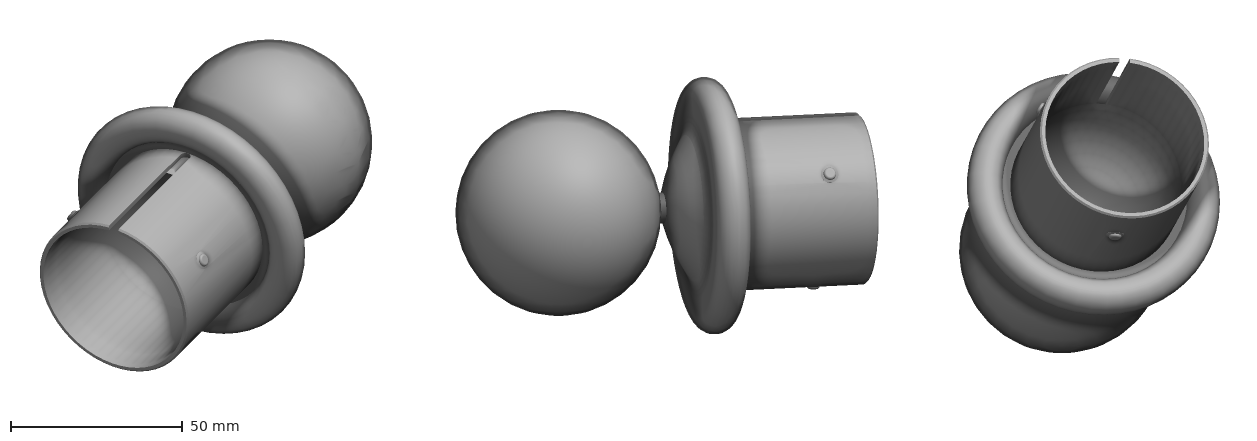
import cadquery as cq
import math


tube_length = 40.0
tube_radius = 25.1
bore_radius = 23.6
tube_chamfer = 0.5
slot_width = 3.2

cavity_center = -6.7

rim_radius = 37.5
rim_width = 10.0
rim_edge_radius = rim_width / 2
rim_center_radius = rim_radius - rim_edge_radius
rim_land = 0.5
rim_lip_radius = 5.0
rim_lip_center_radius = rim_center_radius - rim_land
rim_floor = 3.0
slot_end_gap = 0.1
slot_end = rim_floor - slot_end_gap

dome_tip = 18.8
dome_tip_radius = 4.7
dome_mid_radius = 13.2
dome_mid = 15.55
dome_foot = 11.3
dome_foot_radius = 20.9
dome_flare_radius = 26.0

ball_radius = 30.0
ball_center = 50.0
neck_radius = 4.5
neck_overlap = 1.0

stud_count = 3
stud_distance = 14.0
stud_base_radius = 2.6
stud_radius = 1.85
stud_edge_radius = 0.7
stud_height = 1.1
stud_cone_height = 0.3
first_stud_angle = -90.0


def lip_inner_radius(depth):
    """Radius of the rounded inner lip of the rim at a depth behind its front."""
    rise = rim_lip_radius - depth
    return rim_lip_center_radius - math.sqrt(rim_lip_radius**2 - rise**2)


def make_body():
    """Tube, rim and dome, turned as one outline in (radius, y)."""
    floor_edge_radius = lip_inner_radius(rim_floor)
    lip_mid_depth = rim_floor / 3
    lip_mid = (lip_inner_radius(lip_mid_depth), lip_mid_depth)
    outline = (
        cq.Workplane("XY")
        .moveTo(0, -tube_length)
        .lineTo(tube_radius - tube_chamfer, -tube_length)
        .lineTo(tube_radius, -tube_length + tube_chamfer)
        .lineTo(tube_radius, rim_floor)
        .lineTo(floor_edge_radius, rim_floor)
        .threePointArc(lip_mid, (rim_lip_center_radius, 0))
        .lineTo(rim_center_radius, 0)
        .threePointArc((rim_radius, rim_width / 2), (rim_center_radius, rim_width))
        .lineTo(dome_flare_radius, rim_width)
        .tangentArcPoint((dome_foot_radius, dome_foot), relative=False)
        .threePointArc((dome_mid_radius, dome_mid), (dome_tip_radius, dome_tip))
        .lineTo(0, dome_tip)
        .close()
    )
    return outline.revolve(360, (0, 0, 0), (0, 1, 0))


def make_bore():
    """Bore of the tube with its hemispherical end."""
    diagonal = bore_radius * math.sqrt(0.5)
    outline = (
        cq.Workplane("XY")
        .moveTo(0, -tube_length)
        .lineTo(bore_radius, -tube_length)
        .lineTo(bore_radius, cavity_center)
        .threePointArc((diagonal, cavity_center + diagonal), (0, cavity_center + bore_radius))
        .close()
    )
    return outline.revolve(360, (0, 0, 0), (0, 1, 0))


def make_ball():
    """Ball with the neck that joins it to the dome."""
    neck_start = dome_tip - neck_overlap
    ball = cq.Workplane("XY").sphere(ball_radius).translate((0, ball_center, 0))
    neck = (
        cq.Workplane("XZ", origin=(0, ball_center, 0))
        .circle(neck_radius)
        .extrude(ball_center - neck_start)
    )
    return ball.union(neck)


def make_slot():
    """Round-ended lengthwise slot on the +Z side, as deep as the tube wall is thick."""
    slot_length = tube_length + slot_end
    wall = (
        cq.Workplane("XZ", origin=(0, -tube_length, 0))
        .circle(tube_radius)
        .circle(bore_radius)
        .extrude(-slot_length)
    )
    half_width = slot_width / 2
    straight_end = slot_end - half_width
    strip = (
        cq.Workplane("XY")
        .moveTo(-half_width, -tube_length)
        .lineTo(half_width, -tube_length)
        .lineTo(half_width, straight_end)
        .threePointArc((0, slot_end), (-half_width, straight_end))
        .close()
        .extrude(tube_radius)
    )
    return wall.intersect(strip)


def make_stud(angle):
    """Round-edged stud standing radially on the tube wall."""
    root = (tube_radius + bore_radius) / 2
    end = tube_radius + stud_height
    stud = (
        cq.Workplane("XY")
        .moveTo(root, 0)
        .lineTo(root, stud_base_radius)
        .lineTo(tube_radius, stud_base_radius)
        .lineTo(tube_radius + stud_cone_height, stud_radius)
        .lineTo(end - stud_edge_radius, stud_radius)
        .tangentArcPoint((end, stud_radius - stud_edge_radius), relative=False)
        .lineTo(end, 0)
        .close()
        .revolve(360, (0, 0, 0), (1, 0, 0))
        .translate((0, stud_distance - tube_length, 0))
    )
    return stud.rotate((0, 0, 0), (0, 1, 0), -angle)


result = make_body().cut(make_bore()).cut(make_slot()).union(make_ball())
for index in range(stud_count):
    result = result.union(make_stud(first_stud_angle + index * 360 / stud_count))